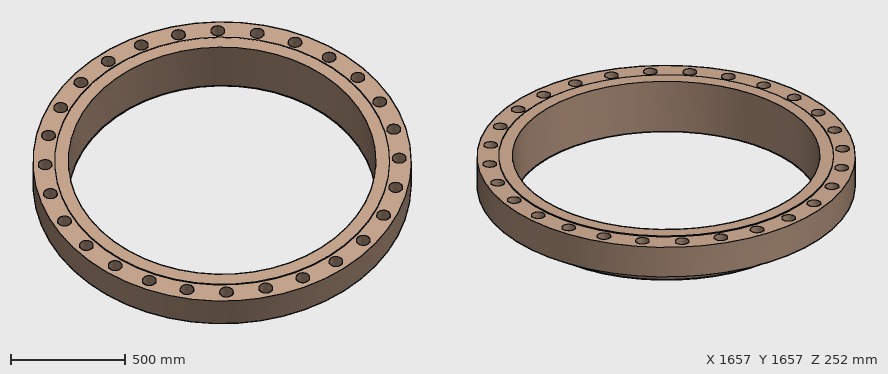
import cadquery as cq

outer_diameter = 1657.0
total_height = 252.0
bore_diameter = 1347.0

face_diameter = 1467.0
face_height = 5.0
flange_bottom = 100.0
flange_top = total_height - face_height

neck_top_diameter = 1410.0
neck_bottom_diameter = 1377.0
neck_fillet = 20.0
root_tolerance = 2.0
weld_land_diameter = 1355.0
weld_bevel_height = 10.0

bolt_count = 28
bolt_circle_diameter = 1551.0
bolt_hole_diameter = 60.0


def flange_ring():
    """Revolve the radial half-section about Z, then round the neck root."""
    section = [
        (bore_diameter / 2, 0),
        (weld_land_diameter / 2, 0),
        (neck_bottom_diameter / 2, weld_bevel_height),
        (neck_top_diameter / 2, flange_bottom),
        (outer_diameter / 2, flange_bottom),
        (outer_diameter / 2, flange_top),
        (face_diameter / 2, flange_top),
        (face_diameter / 2, total_height),
        (bore_diameter / 2, total_height),
    ]
    ring = cq.Workplane("XZ").polyline(section).close().revolve(360, (0, 0), (0, 1))
    neck_root = cq.selectors.BoxSelector(
        (-outer_diameter, -outer_diameter, flange_bottom - root_tolerance),
        (outer_diameter, outer_diameter, flange_bottom + root_tolerance),
        boundingbox=True,
    )
    inner_circle = cq.selectors.RadiusNthSelector(0)
    return ring.edges(neck_root).edges(inner_circle).fillet(neck_fillet)


def bolt_holes():
    """Cylinders on the bolt circle, one of them on the +X axis."""
    return (
        cq.Workplane("XY")
        .polarArray(bolt_circle_diameter / 2, 0, 360, bolt_count)
        .circle(bolt_hole_diameter / 2)
        .extrude(total_height)
    )


result = flange_ring().cut(bolt_holes())